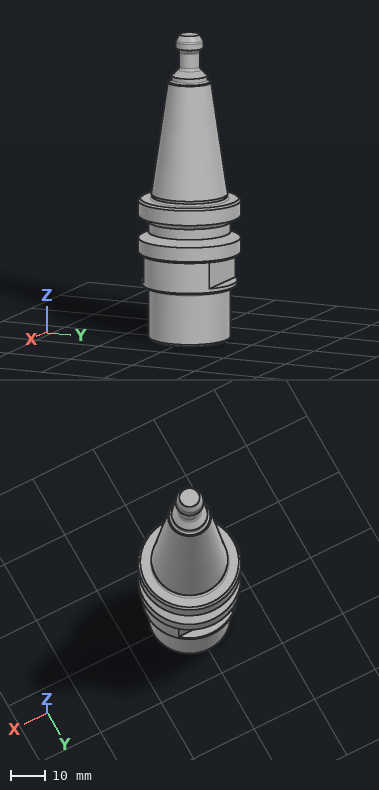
import cadquery as cq
import math

TOTAL_HEIGHT = 90.9
FLANGE_RADIUS = 30.0 / 2
NUT_RADIUS = 24.0 / 2
BODY_RADIUS = 28.0 / 2

NUT_CHAMFER = 0.8
NUT_FILLET = 0.5

BODY_BOTTOM = 16.0
BODY_CHAMFER = 0.5
FLAT_SPACING = 21.1
FLAT_BOTTOM = 17.6

FLANGE_BOTTOM = 25.5
FLANGE_TOP = 42.0
FLANGE_CHAMFER = 0.6
LOWER_RIM_TOP = 30.4
GROOVE_BOTTOM = 32.1
GROOVE_TOP = 35.2
UPPER_RIM_BOTTOM = 37.0

TAPER_BOTTOM = 43.4
TAPER_TOP = 76.9
TAPER_BASE_RADIUS = 11.2
TAPER_SLOPE = 7 / 48
TAPER_CHAMFER = 0.3
RELIEF_DEPTH = 0.3
RELIEF_BOTTOM = 42.5
RELIEF_FILLET = RELIEF_BOTTOM - FLANGE_TOP

COLLAR_RADIUS = 10.5 / 2
COLLAR_FILLET = 0.5
COLLAR_TOP = 78.6
NECK_RADIUS = 6.0 / 2
NECK_BOTTOM = 81.4
NECK_TOP = 85.8
NECK_CONE_ANGLE = math.radians(45)
NECK_FILLET_DROP = 0.9
NECK_TOP_FILLET_RISE = 0.3
KNOB_RADIUS = 8.1 / 2
KNOB_BOTTOM = 86.9
KNOB_TOP = 88.7
KNOB_FILLET_HEIGHT = 0.5
KNOB_CONE_ANGLE = math.radians(30)


def fillet_offsets(height, angle):
    """Radial and axial steps to the middle and the end of a fillet leaving a vertical wall."""
    bend_radius = height / math.sin(angle)
    middle = (bend_radius * (1 - math.cos(angle / 2)), bend_radius * math.sin(angle / 2))
    end = (bend_radius * (1 - math.cos(angle)), height)
    return middle, end


def inner_corner_middle(radius, height, fillet, vertical):
    """Middle of a quarter fillet between a wall of given radius and a flat face at given height.

    vertical is +1 when the wall rises from the face and -1 when it hangs below it.
    """
    step = fillet * (1 - math.sqrt(0.5))
    return radius + step, height + vertical * step


def make_turned_body():
    taper_top_radius = TAPER_BASE_RADIUS - (TAPER_TOP - TAPER_BOTTOM) * TAPER_SLOPE
    relief_radius = TAPER_BASE_RADIUS - RELIEF_DEPTH
    neck_middle, neck_end = fillet_offsets(NECK_FILLET_DROP, NECK_CONE_ANGLE)
    neck_top_middle, neck_top_end = fillet_offsets(NECK_TOP_FILLET_RISE, NECK_CONE_ANGLE)
    knob_middle, knob_end = fillet_offsets(KNOB_FILLET_HEIGHT, KNOB_CONE_ANGLE)
    knob_fillet_radius = KNOB_RADIUS - knob_end[0]
    knob_fillet_top = KNOB_TOP + knob_end[1]
    knob_tip_radius = knob_fillet_radius - (TOTAL_HEIGHT - knob_fillet_top) * math.tan(KNOB_CONE_ANGLE)

    profile = (
        cq.Workplane("XZ")
        .moveTo(0, 0)
        .lineTo(NUT_RADIUS - NUT_CHAMFER, 0)
        .lineTo(NUT_RADIUS, NUT_CHAMFER)
        .lineTo(NUT_RADIUS, BODY_BOTTOM - NUT_FILLET)
        .threePointArc(
            inner_corner_middle(NUT_RADIUS, BODY_BOTTOM, NUT_FILLET, -1),
            (NUT_RADIUS + NUT_FILLET, BODY_BOTTOM),
        )
        .lineTo(BODY_RADIUS - BODY_CHAMFER, BODY_BOTTOM)
        .lineTo(BODY_RADIUS, BODY_BOTTOM + BODY_CHAMFER)
        .lineTo(BODY_RADIUS, FLANGE_BOTTOM)
        .lineTo(FLANGE_RADIUS - FLANGE_CHAMFER, FLANGE_BOTTOM)
        .lineTo(FLANGE_RADIUS, FLANGE_BOTTOM + FLANGE_CHAMFER)
        .lineTo(FLANGE_RADIUS, LOWER_RIM_TOP)
        .lineTo(NUT_RADIUS, GROOVE_BOTTOM)
        .lineTo(NUT_RADIUS, GROOVE_TOP)
        .lineTo(FLANGE_RADIUS, UPPER_RIM_BOTTOM)
        .lineTo(FLANGE_RADIUS, FLANGE_TOP - FLANGE_CHAMFER)
        .lineTo(FLANGE_RADIUS - FLANGE_CHAMFER, FLANGE_TOP)
        .lineTo(relief_radius + RELIEF_FILLET, FLANGE_TOP)
        .threePointArc(
            inner_corner_middle(relief_radius, FLANGE_TOP, RELIEF_FILLET, 1),
            (relief_radius, RELIEF_BOTTOM),
        )
        .lineTo(TAPER_BASE_RADIUS, TAPER_BOTTOM)
        .lineTo(taper_top_radius + TAPER_CHAMFER * TAPER_SLOPE, TAPER_TOP - TAPER_CHAMFER)
        .lineTo(taper_top_radius - TAPER_CHAMFER, TAPER_TOP)
        .lineTo(COLLAR_RADIUS + COLLAR_FILLET, TAPER_TOP)
        .threePointArc(
            inner_corner_middle(COLLAR_RADIUS, TAPER_TOP, COLLAR_FILLET, 1),
            (COLLAR_RADIUS, TAPER_TOP + COLLAR_FILLET),
        )
        .lineTo(COLLAR_RADIUS, COLLAR_TOP)
        .lineTo(NECK_RADIUS + neck_end[0], NECK_BOTTOM - neck_end[1])
        .threePointArc(
            (NECK_RADIUS + neck_middle[0], NECK_BOTTOM - neck_middle[1]),
            (NECK_RADIUS, NECK_BOTTOM),
        )
        .lineTo(NECK_RADIUS, NECK_TOP - neck_top_end[1])
        .threePointArc(
            (NECK_RADIUS + neck_top_middle[0], NECK_TOP - neck_top_end[1] + neck_top_middle[1]),
            (NECK_RADIUS + neck_top_end[0], NECK_TOP),
        )
        .lineTo(KNOB_RADIUS, KNOB_BOTTOM)
        .lineTo(KNOB_RADIUS, KNOB_TOP)
        .threePointArc(
            (KNOB_RADIUS - knob_middle[0], KNOB_TOP + knob_middle[1]),
            (knob_fillet_radius, knob_fillet_top),
        )
        .lineTo(knob_tip_radius, TOTAL_HEIGHT)
        .lineTo(0, TOTAL_HEIGHT)
        .close()
    )
    return profile.revolve(360, (0, 0, 0), (0, 1, 0))


def make_flat_cutter(side):
    """Block that cuts the wrench flat on the +Y (side = 1) or -Y (side = -1) side."""
    depth = FLANGE_RADIUS - FLAT_SPACING / 2
    return cq.Workplane("XY").box(
        2 * FLANGE_RADIUS, depth, FLANGE_BOTTOM - FLAT_BOTTOM, centered=(True, True, False)
    ).translate((0, side * (FLAT_SPACING + depth) / 2, FLAT_BOTTOM))


result = make_turned_body()
for side in (-1, 1):
    result = result.cut(make_flat_cutter(side))